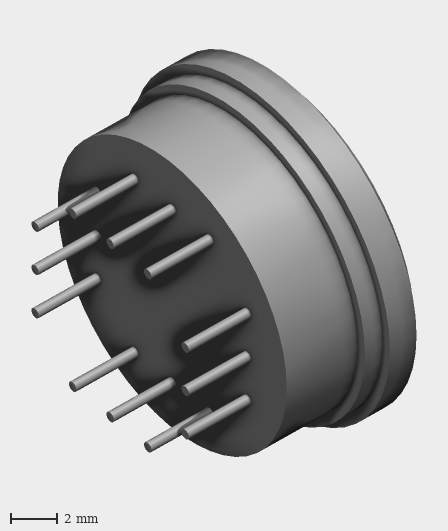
import cadquery as cq

total_depth = 10.5
flange_diameter = 17.5
collar_diameter = 16.5
cap_diameter = 16.0
body_diameter = 15.5

pin_length = 3.5
collar_length = 1.0
flange_length = 1.5
cap_length = 0.5
body_length = total_depth - pin_length - collar_length - flange_length - cap_length

pin_diameter = 0.5
pin_pitch = 2.54
pin_row_offset = 2 * pin_pitch
pin_embed = 0.18


def cylinder_along_y(diameter, start_y, length, x=0, z=0):
    """Cylinder that starts at start_y and extends toward +Y."""
    base = cq.Workplane("XZ", origin=(x, start_y, z))
    return base.circle(diameter / 2).extrude(-length)


def make_can():
    """Stepped round can, stacked from the pin face toward +Y."""
    steps = [
        (body_diameter, body_length),
        (collar_diameter, collar_length),
        (flange_diameter, flange_length),
        (cap_diameter, cap_length),
    ]
    can = cq.Workplane("XZ")
    start_y = 0
    for diameter, length in steps:
        can = can.union(cylinder_along_y(diameter, start_y, length))
        start_y += length
    return can


def pin_positions():
    """X and Z of the pins on all four sides of the square."""
    positions = []
    for side in (-pin_row_offset, pin_row_offset):
        for along in (-pin_pitch, 0, pin_pitch):
            positions.append((side, along))
            positions.append((along, side))
    return positions


result = make_can()
for pin_x, pin_z in pin_positions():
    pin = cylinder_along_y(pin_diameter, -pin_length, pin_length + pin_embed, pin_x, pin_z)
    result = result.union(pin)